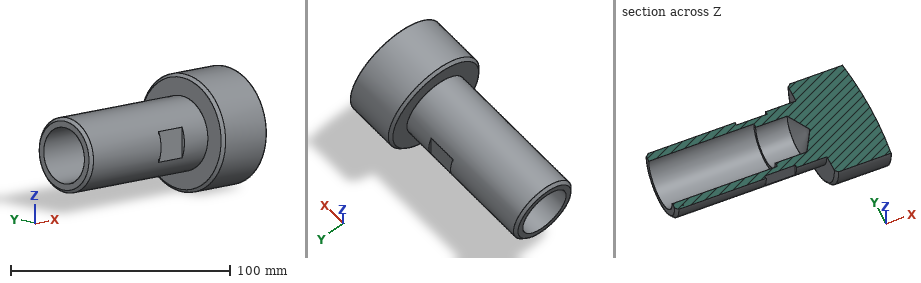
import cadquery as cq

total_length = 104.8
head_diameter = 55.0
shank_diameter = 35.0
shank_length = 75.2
dome_height = 1.8
edge_chamfer = 1.5

mouth_diameter = 26.2
mouth_depth = 52.4
bore_diameter = 22.0
bore_depth = 68.1
drill_tip_height = 6.4

flat_start = 45.1
flat_length = 15.1
across_flats = 32.0


def make_body():
    """Chamfered shank and head, closed by a shallow domed end face."""
    head_radius = head_diameter / 2
    shank_radius = shank_diameter / 2
    dome_start = total_length - dome_height
    dome_radius = (head_radius**2 + dome_height**2) / (2 * dome_height)
    dome_center = total_length - dome_radius
    mid_radius = head_radius / 2
    mid_x = dome_center + (dome_radius**2 - mid_radius**2) ** 0.5
    return (
        cq.Workplane("XY")
        .lineTo(0, shank_radius - edge_chamfer)
        .lineTo(edge_chamfer, shank_radius)
        .lineTo(shank_length, shank_radius)
        .lineTo(shank_length, head_radius - edge_chamfer)
        .lineTo(shank_length + edge_chamfer, head_radius)
        .lineTo(dome_start, head_radius)
        .threePointArc((mid_x, mid_radius), (total_length, 0))
        .close()
        .revolve(360, (0, 0, 0), (1, 0, 0))
    )


def make_bore():
    """Wide mouth, narrower bore and conical drill tip."""
    return (
        cq.Workplane("XY")
        .lineTo(0, mouth_diameter / 2)
        .lineTo(mouth_depth, mouth_diameter / 2)
        .lineTo(mouth_depth, bore_diameter / 2)
        .lineTo(bore_depth, bore_diameter / 2)
        .lineTo(bore_depth + drill_tip_height, 0)
        .close()
        .revolve(360, (0, 0, 0), (1, 0, 0))
    )


def make_flat_cutter(side):
    """Block removing the shank beyond one flat; side is +1 or -1 along Y."""
    cutter_width = shank_diameter
    center_y = side * (across_flats + cutter_width) / 2
    return cq.Workplane("XY").box(flat_length, cutter_width, shank_diameter).translate(
        (flat_start + flat_length / 2, center_y, 0)
    )


result = make_body().cut(make_bore())
for side in (-1, 1):
    result = result.cut(make_flat_cutter(side))